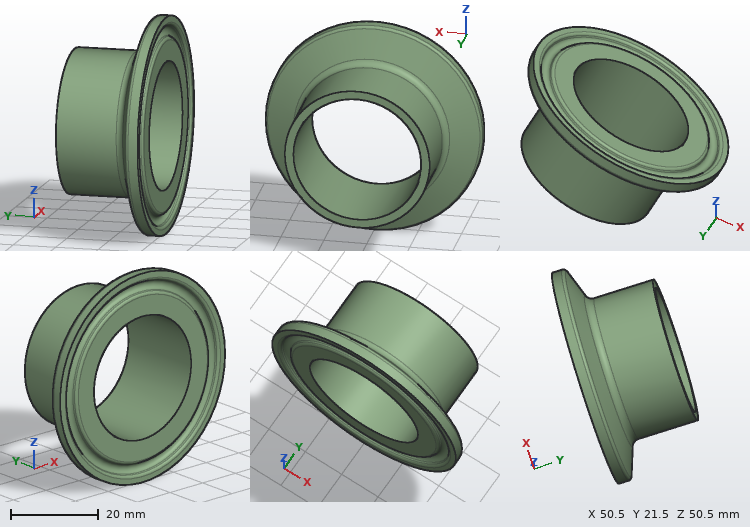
import cadquery as cq
import math

BORE_DIAMETER = 29.7
TUBE_DIAMETER = 33.7
FLANGE_DIAMETER = 50.5
LENGTH = 21.5

RIM_THICKNESS = 2.85
CONE_ANGLE = math.radians(20)
RIM_ROUND = 0.8
NECK_FILLET = 2.0

GROOVE_DIAMETER = 43.5
GROOVE_ROUND = 1.2
GROOVE_LIP_ROUND = 0.8
GROOVE_WALL_ANGLE = math.radians(23)
GROOVE_DEPTH = 1.6

bore_radius = BORE_DIAMETER / 2
tube_radius = TUBE_DIAMETER / 2
flange_radius = FLANGE_DIAMETER / 2
AXIS_START = (0, 0)
AXIS_END = (0, 1)


def polar(center, radius, angle):
    """Point at a given angle (radians, from the radial direction) on a circle."""
    return (center[0] + radius * math.cos(angle), center[1] + radius * math.sin(angle))


def revolve_profile(profile):
    return profile.close().revolve(360, AXIS_START, AXIS_END)


def make_body():
    """Tube with a conical clamp flange, including the rim round and the neck fillet."""
    cone_normal = math.pi / 2 - CONE_ANGLE
    tangent_factor = math.tan(cone_normal / 2)
    cone_top = RIM_THICKNESS + (flange_radius - tube_radius) * math.tan(CONE_ANGLE)

    rim_start = RIM_THICKNESS - RIM_ROUND * tangent_factor
    rim_center = (flange_radius - RIM_ROUND, rim_start)
    neck_end = cone_top + NECK_FILLET * tangent_factor
    neck_center = (tube_radius + NECK_FILLET, neck_end)

    return revolve_profile(
        cq.Workplane("XY")
        .moveTo(bore_radius, 0)
        .lineTo(flange_radius, 0)
        .lineTo(flange_radius, rim_start)
        .threePointArc(
            polar(rim_center, RIM_ROUND, cone_normal / 2),
            polar(rim_center, RIM_ROUND, cone_normal),
        )
        .lineTo(*polar(neck_center, NECK_FILLET, math.pi + cone_normal))
        .threePointArc(
            polar(neck_center, NECK_FILLET, math.pi + cone_normal / 2),
            (tube_radius, neck_end),
        )
        .lineTo(tube_radius, LENGTH)
        .lineTo(bore_radius, LENGTH)
    )


def make_groove():
    """Ring that cuts the gasket groove: round bottom, leaning walls, rounded lips."""
    middle = GROOVE_DIAMETER / 2
    bottom_center = (middle, GROOVE_DEPTH - GROOVE_ROUND)

    outer_wall_top = polar(bottom_center, GROOVE_ROUND, GROOVE_WALL_ANGLE)
    lip_drop = GROOVE_LIP_ROUND * (1 - math.sin(GROOVE_WALL_ANGLE))
    wall_height = outer_wall_top[1] - lip_drop
    outer_wall_foot = (
        outer_wall_top[0] + wall_height * math.tan(GROOVE_WALL_ANGLE),
        lip_drop,
    )
    lip_center = (
        outer_wall_foot[0] + GROOVE_LIP_ROUND * math.cos(GROOVE_WALL_ANGLE),
        GROOVE_LIP_ROUND,
    )
    lip_middle_angle = math.pi + (GROOVE_WALL_ANGLE + math.pi / 2) / 2
    outer_lip_middle = polar(lip_center, GROOVE_LIP_ROUND, lip_middle_angle)
    outer_lip_end = (lip_center[0], 0)

    def mirrored(point):
        return (2 * middle - point[0], point[1])

    return revolve_profile(
        cq.Workplane("XY")
        .moveTo(*outer_lip_end)
        .threePointArc(outer_lip_middle, outer_wall_foot)
        .lineTo(*outer_wall_top)
        .threePointArc((middle, GROOVE_DEPTH), mirrored(outer_wall_top))
        .lineTo(*mirrored(outer_wall_foot))
        .threePointArc(mirrored(outer_lip_middle), mirrored(outer_lip_end))
    )


result = make_body().cut(make_groove())